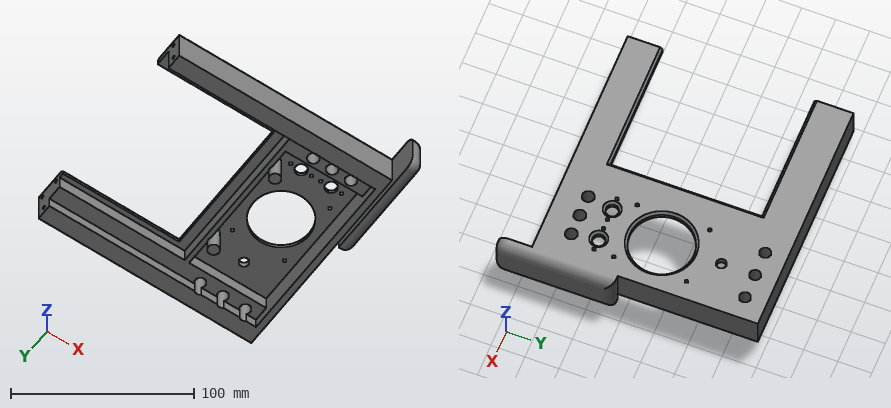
import cadquery as cq

frame_length = 142.7
frame_width = 132.6
frame_height = 20.0
roof_thickness = 4.0

lip_x = 78.0
lip_y_min = 20.5
lip_y_max = 109.6
lip_chamfer = 1.5

side_wall = 10.2
thick_arm = 19.8
front_wall = 22.1
end_wall = 4.1
rib_front_x = lip_x + 6.0
rib_thickness = 3.0
cover_depth = 7.0

total_width = 152.2
plate_thickness = 7.9
plate_length = 70.0
plate_height = 25.0
plate_corner = 6.1
plate_round = 6.0

window_x = 114.6
window_y = 65.2
window_diameter = 37.5
rim_chamfer = 1.5
window_screw_dx = 17.5
window_screw_dy = 21.3
screw_diameter = 2.0

socket_y = 32.1
socket_dx = 10.0
socket_diameter = 7.5
socket_screw_dx = 7.0

front_row_y = 17.0
front_row_pitch = 12.6
front_row_diameter = 7.0
back_row_y = frame_width - 12.6
back_row_pitch = 15.0
back_row_diameter = 6.5
single_hole_y = frame_width - 32.5
single_hole_diameter = 6.0

boss_x = lip_x + 12.0
boss_dy = 29.0
boss_diameter = 7.0

arm_screw_depth = 10.0
arm_screw_top_z = frame_height - 3.5
arm_screw_low_z = 4.9
thin_arm_screw_y = 5.5
thick_arm_top_screws_y = (frame_width - 3.5, frame_width - 16.5)
thick_arm_low_screw_y = frame_width - 4.9


def block(x_range, y_range, z_range):
    """Axis-aligned box given by its (low, high) limits."""
    low, high = zip(x_range, y_range, z_range)
    size = [b - a for a, b in zip(low, high)]
    return cq.Workplane("XY").box(*size, centered=False).translate(low)


def upright_cylinders(points, diameter, z_low, z_high):
    return (
        cq.Workplane("XY", origin=(0, 0, z_low))
        .pushPoints(points)
        .circle(diameter / 2)
        .extrude(z_high - z_low)
    )


def through_holes(points, diameter):
    return upright_cylinders(points, diameter, 0, frame_height)


def chamfered_hole(x, y, diameter):
    """Through hole with a conical rim at the top face."""
    radius = diameter / 2
    rim = (
        cq.Workplane("XY", origin=(x, y, frame_height))
        .circle(radius + rim_chamfer)
        .workplane(offset=-rim_chamfer)
        .circle(radius)
        .loft()
    )
    return through_holes([(x, y)], diameter).union(rim)


def row(y, pitch):
    return [(window_x + i * pitch, y) for i in (-1, 0, 1)]


def arm_screw_holes():
    points = [(y, arm_screw_top_z) for y in (thin_arm_screw_y, *thick_arm_top_screws_y)]
    points += [(y, arm_screw_low_z) for y in (thin_arm_screw_y, thick_arm_low_screw_y)]
    return (
        cq.Workplane("YZ")
        .pushPoints(points)
        .circle(screw_diameter / 2)
        .extrude(arm_screw_depth)
    )


def opening():
    """Space between the arms, widening in a chamfer at the top face."""
    lip = block((0, lip_x), (lip_y_min, lip_y_max), (0, frame_height))
    width = lip_y_max - lip_y_min
    middle = (lip_y_min + lip_y_max) / 2
    flare = (
        cq.Workplane("XY", origin=(0, middle, frame_height - lip_chamfer))
        .rect(2 * lip_x, width)
        .workplane(offset=lip_chamfer)
        .rect(2 * (lip_x + lip_chamfer), width + 2 * lip_chamfer)
        .loft()
    )
    return lip.union(flare)


def grip_plate():
    y_min = frame_width - total_width
    plate = block(
        (frame_length, frame_length + plate_thickness),
        (y_min, y_min + plate_length),
        (frame_height - plate_height, frame_height),
    )
    plate = plate.edges("|X and <Y").fillet(plate_corner)
    return plate.faces(">X").edges().fillet(plate_round)


roof_z = frame_height - roof_thickness
hollow_x = (rib_front_x + rib_thickness, frame_length - end_wall)
hollow_y_max = frame_width - thick_arm
frame = block((0, frame_length), (0, frame_width), (0, frame_height))
frame = frame.cut(opening())
frame = frame.cut(block((0, rib_front_x), (side_wall, hollow_y_max), (0, roof_z)))
frame = frame.cut(block(hollow_x, (front_wall, hollow_y_max), (0, roof_z)))

frame = frame.cut(block((0, hollow_x[1]), (side_wall, frame_width - side_wall), (0, cover_depth)))

boss_points = [(boss_x, window_y + s * boss_dy) for s in (-1, 1)]
frame = frame.union(upright_cylinders(boss_points, boss_diameter, 0, roof_z))

frame = frame.cut(chamfered_hole(window_x, window_y, window_diameter))
window_screws = [
    (window_x + i * window_screw_dx, window_y + j * window_screw_dy) for i in (-1, 1) for j in (-1, 1)
]
frame = frame.cut(through_holes(window_screws, screw_diameter))
for side in (-1, 1):
    socket_x = window_x + side * socket_dx
    frame = frame.cut(chamfered_hole(socket_x, socket_y, socket_diameter))
    socket_screws = [(socket_x + i * socket_screw_dx, socket_y) for i in (-1, 1)]
    frame = frame.cut(through_holes(socket_screws, screw_diameter))
frame = frame.cut(through_holes(row(front_row_y, front_row_pitch), front_row_diameter))
frame = frame.cut(through_holes(row(back_row_y, back_row_pitch), back_row_diameter))
frame = frame.cut(through_holes([(window_x, single_hole_y)], single_hole_diameter))
frame = frame.cut(arm_screw_holes())

result = frame.union(grip_plate())